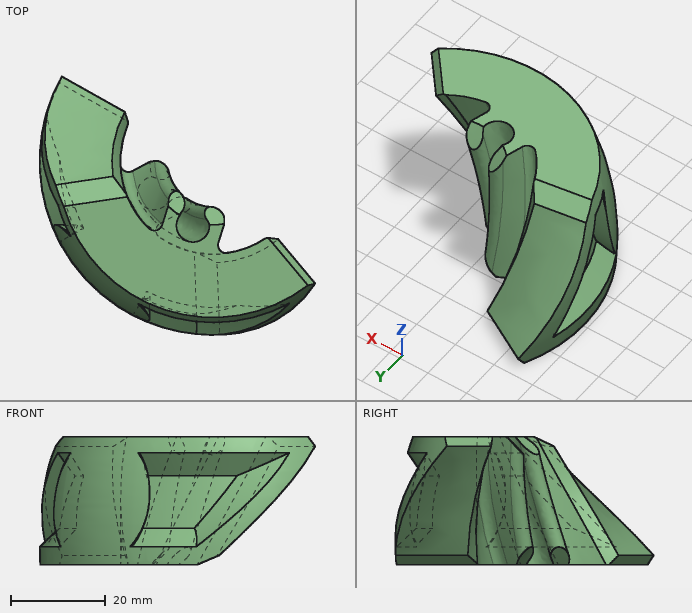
import cadquery as cq
import math


height = 27.1
half_height = height / 2
heading = 230.3
full_twist = 44.5
twist_rate = full_twist / height
half_span = 60.7

barrel_radius = 36.65
barrel_centre_z = -8.9
barrel_bulge = 69.8
blank_radius = 46.5

cutter_overlap = 0.6
cutter_width = 11.65
reach_overlap = 15

bore_radius = 19.6
end_bevel_height = 2.05
end_bevel_radial = 1.75
end_bevel_depth = 3.1

stem_half_width = 6.2
stem_fillet = 1.75
hole_radius = 3.5
hole_distance = 14.2
prong_radius = 2.0
hub_bevel_radius = 13.4
hub_bevel_slope = 1
hub_clear_radius = 8.15

pocket_bottom_z = -9.7
pocket_top_z = 10.1
floor_bottom_z = -5.75
floor_top_z = 5.3
floor_bottom_radius = 32.45
floor_top_radius = 30.75
pocket_half_span = 50.8
floor_half_span = 41.6
pad_radius = 14.3
pad_heading = 225
pad_edge_distance = 33.3
pad_reach = 7
pad_tilt = 7.4
pad_undercut = 45


def polar(radius, angle):
    """Point at a radius and an angle in degrees."""
    turn = math.radians(angle)
    return (radius * math.cos(turn), radius * math.sin(turn))


def mirrored(point):
    """Point reflected across the X axis."""
    return (point[0], -point[1])


def barrel_at(z):
    """Outside radius at a height."""
    rise = z - barrel_centre_z
    return barrel_radius - barrel_bulge + math.sqrt(barrel_bulge**2 - rise**2)


def twisted(section, rate):
    """Extrude a mid-height section over the full height, twisting it about the ring axis."""
    twist = rate * height
    solid = section.twistExtrude(height, twist)
    return solid.translate((0, 0, -half_height)).rotate((0, 0, 0), (0, 0, 1), -twist / 2)


def segment_section():
    """Ring sector, hub stem and prongs as one outline, symmetric about the X axis."""
    prong_y = stem_half_width - prong_radius
    reach = math.sqrt((hole_radius + prong_radius)**2 - prong_y**2)
    prong_x = hole_distance - reach
    share = hole_radius / (hole_radius + prong_radius)
    throat = (hole_distance - reach * share, prong_y * share)
    prong_tip = (prong_x - prong_radius, prong_y)
    prong_side = (prong_x, stem_half_width)

    fillet_y = stem_half_width + stem_fillet
    fillet_x = math.sqrt((bore_radius - stem_fillet)**2 - fillet_y**2)
    fillet_angle = math.degrees(math.atan2(fillet_y, fillet_x))
    fillet_start = (fillet_x, stem_half_width)
    lean = polar(stem_fillet, (fillet_angle - 90) / 2)
    fillet_mid = (fillet_x + lean[0], fillet_y + lean[1])
    fillet_end = polar(bore_radius, fillet_angle)

    bevel_angle = half_span - math.degrees(end_bevel_depth / bore_radius)
    bore_mid = polar(bore_radius, (fillet_angle + bevel_angle) / 2)
    bore_end = polar(bore_radius, bevel_angle)
    end_inner = polar(bore_radius + end_bevel_radial, half_span)
    end_outer = polar(blank_radius, half_span)

    return (
        cq.Workplane("XY")
        .moveTo(*throat)
        .threePointArc(prong_tip, prong_side)
        .lineTo(*fillet_start)
        .threePointArc(fillet_mid, fillet_end)
        .threePointArc(bore_mid, bore_end)
        .lineTo(*end_inner)
        .lineTo(*end_outer)
        .threePointArc((blank_radius, 0), mirrored(end_outer))
        .lineTo(*mirrored(end_inner))
        .lineTo(*mirrored(bore_end))
        .threePointArc(mirrored(bore_mid), mirrored(fillet_end))
        .threePointArc(mirrored(fillet_mid), mirrored(fillet_start))
        .lineTo(*mirrored(prong_side))
        .threePointArc(mirrored(prong_tip), mirrored(throat))
        .threePointArc((hole_distance + hole_radius, 0), throat)
        .close()
    )


def envelope():
    """Revolved barrel with a cone at each face that bevels the hub."""
    cone_z = half_height - hub_bevel_slope * (hub_bevel_radius - hub_clear_radius)
    return (
        cq.Workplane("XZ")
        .moveTo(hub_bevel_radius, half_height)
        .lineTo(barrel_at(half_height), half_height)
        .threePointArc((barrel_at(0), 0), (barrel_at(-half_height), -half_height))
        .lineTo(hub_bevel_radius, -half_height)
        .lineTo(hub_clear_radius, -cone_z)
        .lineTo(hub_clear_radius, cone_z)
        .close()
        .revolve(360, (0, 0, 0), (0, 1, 0))
    )


def end_bevel(side):
    """Cutter for the flat bevel between the top face and the slanted end on one side."""
    edge_z = half_height - end_bevel_height
    past_top = half_height + cutter_overlap
    mid_radius = (bore_radius + barrel_radius) / 2
    drift = math.radians(twist_rate * end_bevel_height) * mid_radius
    travel = end_bevel_depth - side * drift
    past_travel = travel * (1 + cutter_overlap / end_bevel_height)
    start_radius = bore_radius - cutter_overlap
    wedge = (
        cq.Workplane("YZ", origin=(start_radius, 0, 0))
        .moveTo(0, edge_z)
        .lineTo(-side * past_travel, past_top)
        .lineTo(side * cutter_width, past_top)
        .lineTo(side * cutter_width, edge_z)
        .close()
        .extrude(blank_radius - start_radius)
    )
    return wedge.rotate((0, 0, 0), (0, 0, 1), side * half_span + twist_rate * edge_z)


def pocket_reach(side):
    """Twisted block that ends a pocket at its leaning wall, starting beyond the far side of the pad."""
    rim_radius = (barrel_at(pocket_bottom_z) + barrel_at(pocket_top_z)) / 2
    floor_radius = (floor_bottom_radius + floor_top_radius) / 2
    lean = (pocket_half_span - floor_half_span) / (rim_radius - floor_radius)
    taper = (barrel_at(pocket_bottom_z) - barrel_at(pocket_top_z)) / (pocket_top_z - pocket_bottom_z)
    rate = twist_rate + side * lean * taper

    foot = polar(floor_radius, side * floor_half_span)
    rim = polar(rim_radius, side * pocket_half_span)
    wall_inner = (2 * foot[0] - rim[0], 2 * foot[1] - rim[1])
    wall_outer = (2 * rim[0] - foot[0], 2 * rim[1] - foot[1])
    start = polar(bore_radius, -side * reach_overlap)
    far_start = polar(2 * blank_radius, -side * reach_overlap)
    far_end = polar(2 * blank_radius, side * half_span / 2)
    section = cq.Workplane("XY").polyline([start, wall_inner, wall_outer, far_end, far_start]).close()
    return twisted(section, rate)


def pocket_groove():
    """Ring groove with sloped top and bottom walls that both pockets share."""
    return (
        cq.Workplane("XZ")
        .moveTo(blank_radius, pocket_bottom_z)
        .lineTo(barrel_at(pocket_bottom_z), pocket_bottom_z)
        .lineTo(floor_bottom_radius, floor_bottom_z)
        .lineTo(floor_top_radius, floor_top_z)
        .lineTo(barrel_at(pocket_top_z), pocket_top_z)
        .lineTo(blank_radius, pocket_top_z)
        .close()
        .revolve(360, (0, 0, 0), (0, 1, 0))
    )


def pad():
    """Round plug that keeps the barrel surface whole between the pockets."""
    apex_depth = pad_radius / math.tan(math.radians(pad_undercut))
    plug = (
        cq.Workplane("XZ")
        .polyline([(0, -apex_depth), (pad_radius, 0), (pad_radius, pad_reach), (0, pad_reach)])
        .close()
        .revolve(360, (0, 0, 0), (0, 1, 0))
        .rotate((0, 0, 0), (0, 1, 0), 90 - pad_tilt)
        .translate((pad_edge_distance, 0, 0))
    )
    return plug.rotate((0, 0, 0), (0, 0, 1), pad_heading - heading)


body = twisted(segment_section(), twist_rate).intersect(envelope())
for bevel_side in (1, -1):
    top_bevel = end_bevel(bevel_side)
    bottom_bevel = top_bevel.rotate((0, 0, 0), (1, 0, 0), 180)
    body = body.cut(top_bevel).cut(bottom_bevel)

pockets = pocket_groove().intersect(pocket_reach(1).union(pocket_reach(-1)))
body = body.cut(pockets.cut(pad()))

result = body.rotate((0, 0, 0), (0, 0, 1), heading)